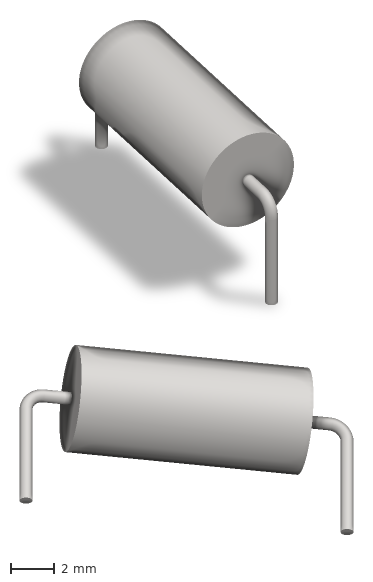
import cadquery as cq

overall_length = 15.84
overall_height = 8.1
body_diameter = 5.0
body_length = 11.01
lead_diameter = 0.6
bend_radius = 0.84

axis_height = body_diameter / 2
body_end = body_length / 2
lead_spacing = overall_length - lead_diameter
lead_drop_x = lead_spacing / 2
lead_tip_z = body_diameter - overall_height


def make_body():
    """Plain cylinder lying along X, centred between the leads."""
    return (
        cq.Workplane("YZ", origin=(-body_end, 0, axis_height))
        .circle(body_diameter / 2)
        .extrude(body_length)
    )


def make_lead(side):
    """Round wire from a body end face, bent down; side is -1 or +1 along X."""
    bend_start_x = side * (lead_drop_x - bend_radius)
    bend_end_z = axis_height - bend_radius
    path = (
        cq.Workplane("XZ")
        .moveTo(side * body_end, axis_height)
        .lineTo(bend_start_x, axis_height)
        .tangentArcPoint((side * lead_drop_x, bend_end_z), relative=False)
        .lineTo(side * lead_drop_x, lead_tip_z)
    )
    return (
        cq.Workplane("YZ", origin=(side * body_end, 0, axis_height))
        .circle(lead_diameter / 2)
        .sweep(path)
    )


body = make_body()
leads = [make_lead(side) for side in (-1, 1)]

result = cq.Compound.makeCompound([body.val(), *[lead.val() for lead in leads]])